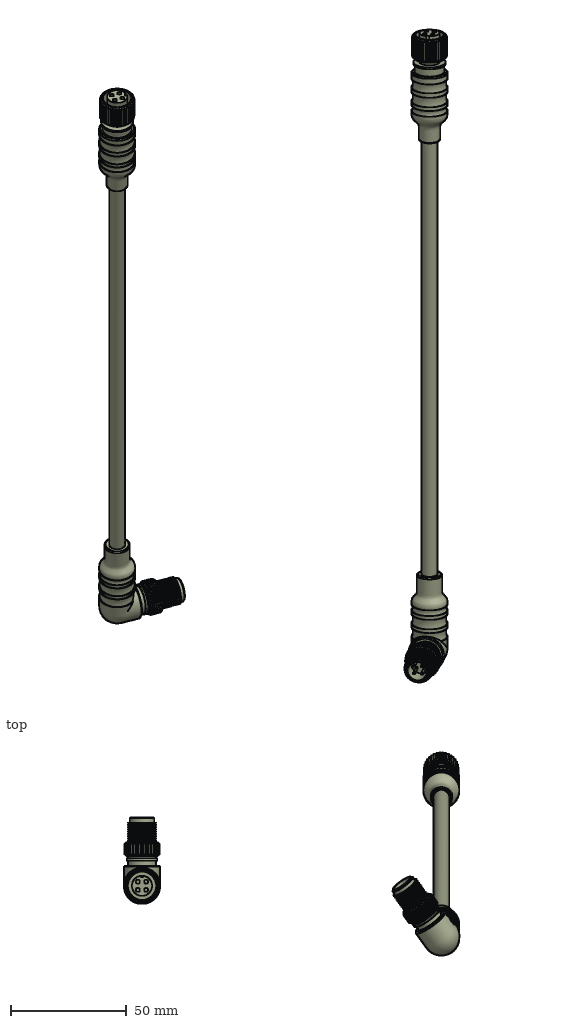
import cadquery as cq
import math

total_height = 290.8
plug_tip_y = 29.7

grip_radius = 7.9
groove_ledge = 0.3
groove_depth = 0.5
elbow_z = grip_radius
cable_radius = 3.5
end_chamfer = 0.5

socket_sleeve_bottom = 241.5
socket_sleeve_top = 247.5
socket_taper_top = 253.5
socket_grip_top = 273.0
socket_sleeve_radius = 4.7
socket_grooves = [(255.0, 257.7), (259.5, 263.8), (265.8, 270.0)]
socket_collar_radius = 6.5
socket_flange_radius = 7.0
socket_flange_bottom = 276.5
socket_flange_top = 277.5
neck_radius = 4.5

angled_grip_top = 29.0
angled_sleeve_bottom = 33.7
angled_sleeve_top = 42.0
angled_sleeve_radius = 5.5
angled_grooves = [(13.0, 17.5), (19.2, 23.5), (25.3, 28.0)]

nut_radius = 7.5
nut_chamfer = 1.0
knurl_count = 36
knurl_depth = 0.45
socket_nut_bottom = 279.5
socket_nut_top = 290.0
socket_nut_bore_radius = 6.0
socket_nut_bore_depth = 8.7
plug_nut_start = 12.8
plug_nut_end = 19.0

elbow_end = 8.7
plug_flange_start = 10.8
plug_flange_end = 12.0
plug_flange_radius = 6.7
barrel_radius = 6.0
thread_pitch = 1.0
thread_depth = 0.5
thread_turns = 8
thread_end = 27.3
plug_tip_radius = 5.38
plug_bore_radius = 4.22
plug_bore_depth = 8.7

contact_count = 4
contact_start_angle = 45
contact_circle_radius = 2.5
pin_radius = 0.5
pin_setback = 1.7
socket_hole_radius = 1.0
socket_hole_depth = 5.8
key_radius = 0.73


def cylinder(radius, start, end):
    return cq.Workplane("XY").workplane(offset=start).circle(radius).extrude(end - start)


def contact_points():
    angles = [math.radians(contact_start_angle + 360 / contact_count * i) for i in range(contact_count)]
    return [(contact_circle_radius * math.cos(a), contact_circle_radius * math.sin(a)) for a in angles]


def grip_grooves(grooves):
    """Rings cut around a grip: a square ledge at each edge and a hollow floor."""
    ledge_radius = grip_radius - groove_ledge
    outside = grip_radius + groove_depth
    cutter = None
    for low, high in grooves:
        ring = (
            cq.Workplane("XZ")
            .moveTo(ledge_radius, low)
            .threePointArc((grip_radius - groove_depth, (low + high) / 2), (ledge_radius, high))
            .lineTo(outside, high)
            .lineTo(outside, low)
            .close()
            .revolve(360, (0, 0), (0, 1))
        )
        cutter = ring if cutter is None else cutter.union(ring)
    return cutter


def knurled_nut(start, end):
    """Ring of V-shaped ridges with both ends bevelled."""
    points = []
    for i in range(2 * knurl_count):
        radius = nut_radius - knurl_depth * (i % 2)
        angle = math.pi * i / knurl_count
        points.append((radius * math.cos(angle), radius * math.sin(angle)))
    ridges = cq.Workplane("XY").workplane(offset=start).polyline(points).close().extrude(end - start)
    envelope = cylinder(nut_radius, start, end).edges().chamfer(nut_chamfer)
    return ridges.intersect(envelope)


def flare(low, low_radius, high, high_radius):
    """Solid of revolution whose S-shaped side joins two radii tangentially."""
    return (
        cq.Workplane("XZ")
        .moveTo(0, low)
        .lineTo(low_radius, low)
        .spline([(high_radius, high)], tangents=[(0, 1), (0, 1)], includeCurrent=True)
        .lineTo(0, high)
        .close()
        .revolve(360, (0, 0), (0, 1))
    )


def socket():
    sleeve = cylinder(socket_sleeve_radius, socket_sleeve_bottom, socket_sleeve_top)
    sleeve = sleeve.faces("<Z").edges().chamfer(end_chamfer)
    taper = flare(socket_sleeve_top, socket_sleeve_radius, socket_taper_top, grip_radius)
    grip = cylinder(grip_radius, socket_taper_top, socket_grip_top)
    grip = grip.faces(">Z").edges().chamfer(end_chamfer)
    collar = cylinder(socket_collar_radius, socket_grip_top, socket_flange_bottom)
    flange = cylinder(socket_flange_radius, socket_flange_bottom, socket_flange_top)
    nut = knurled_nut(socket_nut_bottom, socket_nut_top).cut(
        cylinder(socket_nut_bore_radius, socket_nut_top - socket_nut_bore_depth, socket_nut_top)
    )
    insert = cylinder(neck_radius, socket_flange_top, total_height)
    body = sleeve.union(taper).union(grip).union(collar).union(flange).union(nut).union(insert)
    top = cq.Workplane("XY").workplane(offset=total_height)
    holes = top.pushPoints(contact_points()).circle(socket_hole_radius).extrude(-socket_hole_depth)
    keyway = top.center(0, neck_radius).circle(key_radius).extrude(-socket_hole_depth)
    return body.cut(grip_grooves(socket_grooves)).cut(holes).cut(keyway)


def plug_barrel():
    """Threaded plug built along +Z from the elbow centre."""
    neck = cylinder(barrel_radius, 0, thread_end)
    flange = cylinder(plug_flange_radius, plug_flange_start, plug_flange_end)
    tip = cylinder(plug_tip_radius, thread_end, plug_tip_y).faces(">Z").edges().chamfer(end_chamfer)
    barrel = neck.union(flange).union(tip)
    for i in range(thread_turns):
        z = thread_end - i * thread_pitch
        groove = (
            cq.Workplane("XZ")
            .polyline([
                (barrel_radius, z),
                (barrel_radius - thread_depth, z - thread_pitch / 2),
                (barrel_radius, z - thread_pitch),
            ])
            .close()
            .revolve(360, (0, 0), (0, 1))
        )
        barrel = barrel.cut(groove)
    barrel = barrel.union(knurled_nut(plug_nut_start, plug_nut_end))
    bore_floor = plug_tip_y - plug_bore_depth
    barrel = barrel.cut(cylinder(plug_bore_radius, bore_floor, plug_tip_y))
    pins = (
        cq.Workplane("XY")
        .workplane(offset=bore_floor)
        .pushPoints(contact_points())
        .circle(pin_radius)
        .extrude(plug_bore_depth - pin_setback)
    )
    return barrel.union(pins)


def angled_plug():
    sleeve = cylinder(angled_sleeve_radius, angled_sleeve_bottom, angled_sleeve_top)
    sleeve = sleeve.faces(">Z").edges().chamfer(end_chamfer)
    taper = flare(angled_grip_top, grip_radius, angled_sleeve_bottom, angled_sleeve_radius)
    grip = cylinder(grip_radius, elbow_z, angled_grip_top).cut(grip_grooves(angled_grooves))
    corner = cq.Workplane("XY").sphere(grip_radius).translate((0, 0, elbow_z))
    branch = cylinder(grip_radius, 0, elbow_end).faces(">Z").edges().chamfer(end_chamfer)
    branch = branch.union(plug_barrel())
    branch = branch.rotate((0, 0, 0), (1, 0, 0), -90).translate((0, 0, elbow_z))
    return grip.union(taper).union(sleeve).union(corner).union(branch)


cable = cylinder(cable_radius, angled_sleeve_top, socket_sleeve_bottom)
result = cable.union(socket()).union(angled_plug())